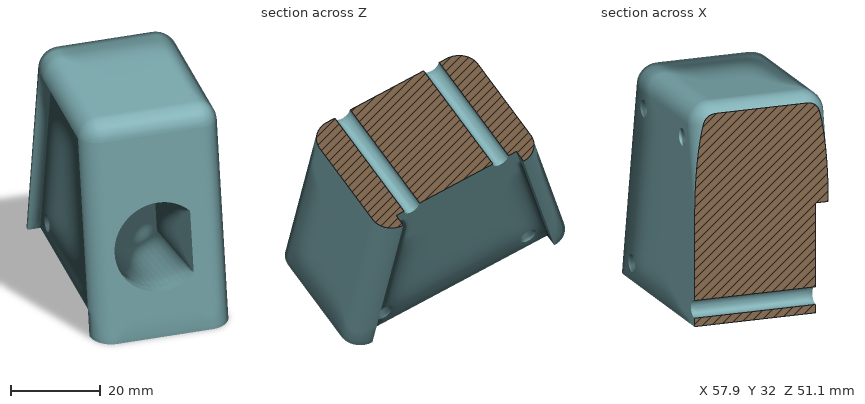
import cadquery as cq
import math

base_width = 57.9
depth = 32.0
height = 51.05
top_width = 38.1
edge_radius = 5.0

recess_depth = 3.0

hole_diameter = 4.0
upper_hole_spacing = 23.35
upper_hole_height = 41.95
lower_hole_spacing = 37.85
lower_hole_height = 4.05

bore_diameter = 20.95
bore_depth = 28.95
bore_center_height = 20.95
bore_flat_y = 7.45

side_slope = (base_width - top_width) / 2 / height
side_angle = math.atan(side_slope)


def half_width(z):
    """Half the X width of the block at height z."""
    return base_width / 2 - side_slope * z


def trapezoid_prism(bottom_half, top_half, prism_height, y_start, length):
    """Symmetric trapezoid standing on Z = 0, extruded toward +Y."""
    corners = [
        (-bottom_half, 0),
        (bottom_half, 0),
        (top_half, prism_height),
        (-top_half, prism_height),
    ]
    plane = cq.Workplane("XZ", origin=(0, y_start, 0))
    return plane.polyline(corners).close().extrude(-length)


def rounded_block():
    block = trapezoid_prism(base_width / 2, top_width / 2, height, -depth / 2, depth)
    return block.edges("not <Z").fillet(edge_radius)


def front_recess():
    """Outline follows the tangent lines of the rounded edges."""
    inset = edge_radius / math.cos(side_angle)
    recess_top = height - edge_radius
    bottom_half = half_width(0) - inset
    top_half = half_width(recess_top) - inset
    return trapezoid_prism(bottom_half, top_half, recess_top, -depth / 2, recess_depth)


def fastener_holes():
    centers = []
    for side in (-1, 1):
        centers.append((side * upper_hole_spacing / 2, upper_hole_height))
        centers.append((side * lower_hole_spacing / 2, lower_hole_height))
    plane = cq.Workplane("XZ", origin=(0, -depth / 2, 0))
    return plane.pushPoints(centers).circle(hole_diameter / 2).extrude(-depth)


def side_bore():
    face_plane = cq.Plane(
        origin=(half_width(bore_center_height), 0, bore_center_height),
        xDir=(0, 1, 0),
        normal=(math.cos(side_angle), 0, math.sin(side_angle)),
    )
    return cq.Workplane(face_plane).circle(bore_diameter / 2).extrude(-bore_depth)


def bore_filler(bore):
    """The segment of the bore that lies beyond the flat."""
    beyond_flat = cq.Workplane("XY").box(base_width, depth, height, centered=(True, False, False))
    return bore.intersect(beyond_flat.translate((0, bore_flat_y, 0)))


bore = side_bore()
result = rounded_block().cut(front_recess()).cut(fastener_holes()).cut(bore)
result = result.union(bore_filler(bore), clean=False)